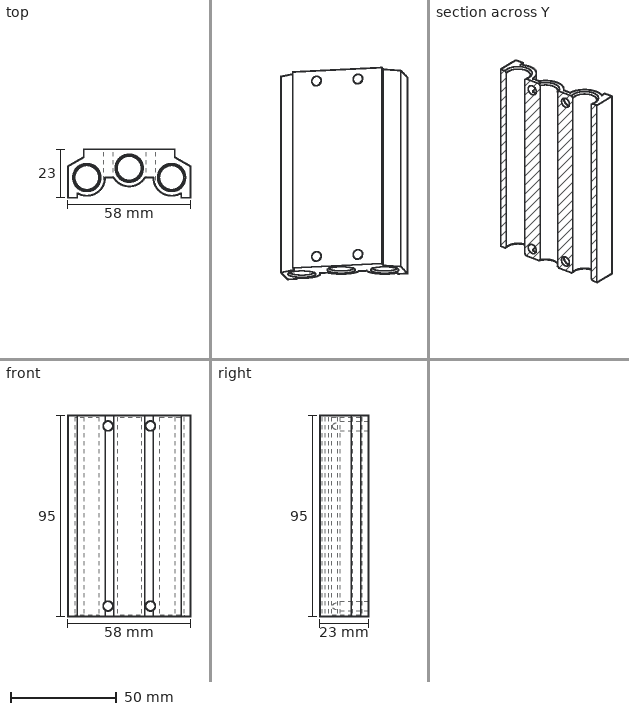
import cadquery as cq

width = 58.0
depth = 23.0
length = 95.0

back_width = 43.0
shoulder_depth = 3.8
slope_end_depth = 8.1
web_depth = 13.5
foot_width = 4.5

tube_diameter = 17.3
bore_diameter = 11.45
bore_mouth_diameter = 13.16
bore_spacing = 20.0
middle_bore_depth = 9.0
side_bore_depth = 13.4
bore_centres = [
    (-bore_spacing, -side_bore_depth),
    (0, -middle_bore_depth),
    (bore_spacing, -side_bore_depth),
]

mount_hole_diameter = 4.5
mount_hole_spacing = 20.0
mount_hole_end_distance = 5.0


def make_plate():
    """Main plate with stepped and sloped back corners, down to the front of the webs."""
    half_width = width / 2
    half_back = back_width / 2
    outline = [
        (-half_back, 0),
        (half_back, 0),
        (half_back, -shoulder_depth),
        (half_width, -slope_end_depth),
        (half_width, -web_depth),
        (-half_width, -web_depth),
        (-half_width, -slope_end_depth),
        (-half_back, -shoulder_depth),
    ]
    return cq.Workplane("XY").polyline(outline).close().extrude(length)


def make_foot(side):
    """Rectangular foot on the outer edge; side is -1 or 1."""
    foot_height = depth - slope_end_depth
    foot_x = side * (width - foot_width) / 2
    foot_y = -depth + foot_height / 2
    return cq.Workplane("XY").center(foot_x, foot_y).rect(foot_width, foot_height).extrude(length)


def make_tubes():
    """Solid round walls that surround the bores."""
    return cq.Workplane("XY").pushPoints(bore_centres).circle(tube_diameter / 2).extrude(length)


def make_bore(centre):
    """Through bore with a 45 degree chamfer at both ends, as one cutting body."""
    bore_radius = bore_diameter / 2
    mouth_radius = bore_mouth_diameter / 2
    chamfer = mouth_radius - bore_radius
    half_section = [
        (0, 0),
        (mouth_radius, 0),
        (bore_radius, chamfer),
        (bore_radius, length - chamfer),
        (mouth_radius, length),
        (0, length),
    ]
    cutter = cq.Workplane("XZ").polyline(half_section).close().revolve(360, (0, 0), (0, 1))
    return cutter.translate((centre[0], centre[1], 0))


def make_mount_holes():
    """Four holes along Y, through the full depth of the part."""
    hole_x = mount_hole_spacing / 2
    hole_z = [mount_hole_end_distance, length - mount_hole_end_distance]
    points = [(x, z) for x in (-hole_x, hole_x) for z in hole_z]
    return cq.Workplane("XZ").pushPoints(points).circle(mount_hole_diameter / 2).extrude(depth)


body = make_plate().union(make_tubes())
for foot_side in (-1, 1):
    body = body.union(make_foot(foot_side))
for bore_centre in bore_centres:
    body = body.cut(make_bore(bore_centre))
result = body.cut(make_mount_holes())